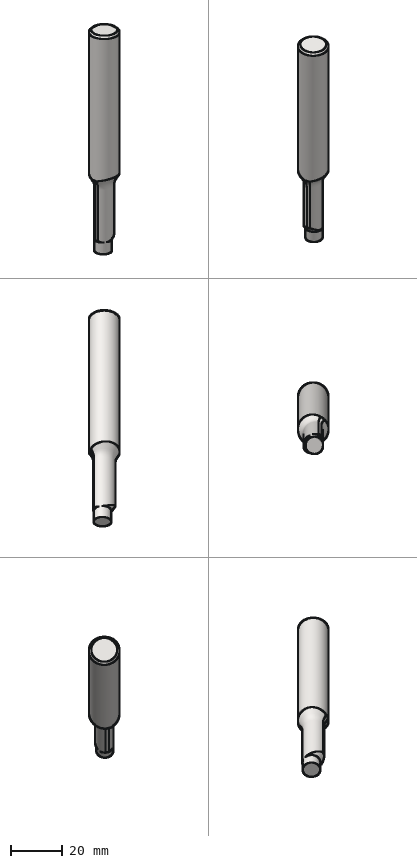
import cadquery as cq
import math

length = 96.1
shank_radius = 12.0 / 2
top_chamfer = 1.0

neck_half_x = 3.65
neck_half_y = 4.4
flat_half_width = 0.72

blend_start_z = 28.35
blend_radius = 5.8
taper_angle = math.radians(30)
flare_growth = 4.8

tip_radius = 3.5
tip_center_y = -0.74
shoulder_z = 5.2
end_rise = 0.2

arc_sagitta = neck_half_x - flat_half_width
neck_arc_radius = (neck_half_y**2 + arc_sagitta**2) / (2 * arc_sagitta)
arc_center_offset = neck_arc_radius - neck_half_x


def flare_half_profile(neck_size):
    """Half profile from the center line outward, in the XZ plane."""
    blend_end_x = neck_size + blend_radius * (1 - math.cos(taper_angle))
    blend_end_z = blend_start_z + blend_radius * math.sin(taper_angle)
    blend_mid_x = neck_size + blend_radius * (1 - math.cos(taper_angle / 2))
    blend_mid_z = blend_start_z + blend_radius * math.sin(taper_angle / 2)
    outer_x = neck_size + flare_growth
    outer_z = blend_end_z + (outer_x - blend_end_x) / math.tan(taper_angle)
    return (
        cq.Workplane("XZ")
        .lineTo(neck_size, 0)
        .lineTo(neck_size, blend_start_z)
        .threePointArc((blend_mid_x, blend_mid_z), (blend_end_x, blend_end_z))
        .lineTo(outer_x, outer_z)
        .lineTo(outer_x, length)
        .lineTo(0, length)
        .close()
    )


def make_arc_envelope(center_x):
    """Flared round body bounding one curved side of the neck."""
    body = flare_half_profile(neck_arc_radius).revolve(360, (0, 0, 0), (0, 1, 0))
    return body.translate((center_x, 0, 0))


def make_flat_envelope():
    """Flared slab bounding the neck flats."""
    half = flare_half_profile(neck_half_y).extrude(shank_radius * 2, both=True)
    half = half.rotate((0, 0, 0), (0, 0, 1), 90)
    return half.union(half.mirror("XZ"))


def make_tip_envelope():
    """Pin with a conical shoulder that opens out beyond the shank."""
    outer_radius = shank_radius * 2
    outer_z = shoulder_z + (outer_radius - tip_radius) / math.tan(taper_angle)
    body = (
        cq.Workplane("XZ")
        .polyline([
            (0, 0),
            (tip_radius, 0),
            (tip_radius, shoulder_z),
            (outer_radius, outer_z),
            (outer_radius, length),
            (0, length),
        ])
        .close()
        .revolve(360, (0, 0, 0), (0, 1, 0))
    )
    return body.translate((0, tip_center_y, 0))


def make_end_relief():
    """Wedge that makes the tip's end face rise toward -X."""
    return (
        cq.Workplane("XZ")
        .polyline([
            (tip_radius, 0),
            (-neck_half_x, end_rise),
            (-neck_half_x, 0),
        ])
        .close()
        .extrude(shank_radius * 2, both=True)
    )


shank = cq.Workplane("XY").circle(shank_radius).extrude(length)
shank = shank.faces(">Z").chamfer(top_chamfer)

result = (
    shank
    .intersect(make_arc_envelope(arc_center_offset))
    .intersect(make_arc_envelope(-arc_center_offset))
    .intersect(make_flat_envelope())
    .intersect(make_tip_envelope())
    .cut(make_end_relief())
)